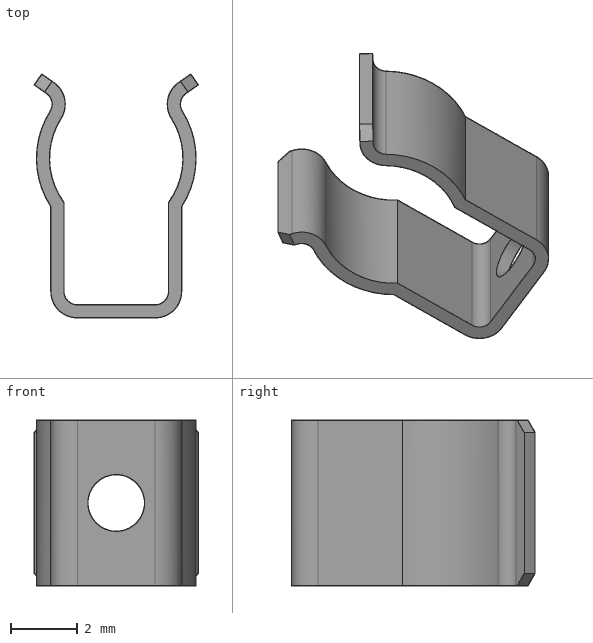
import cadquery as cq
import math

thickness = 0.4
height = 5.0
base_width = 3.95
corner_inner_radius = 0.4
hole_diameter = 1.7

jaw_bulge = 0.433
jaw_inner_radius = 2.25
jaw_center_y = 4.81
jaw_end_angle = 32.3

bend_inner_radius = 0.4
lip_angle = 35.0
lip_length = 0.45
lip_chamfer = 0.38

half_width = base_width / 2
inner_half_width = half_width - thickness
corner_outer_radius = corner_inner_radius + thickness
jaw_outer_radius = jaw_inner_radius + thickness
jaw_center_x = half_width + jaw_bulge - jaw_outer_radius
bend_outer_radius = bend_inner_radius + thickness
bend_start_angle = 180 + jaw_end_angle
bend_end_angle = 90 + lip_angle
bend_middle_angle = (bend_start_angle + bend_end_angle) / 2


def polar(center, radius, angle):
    """Point at a radius and an angle in degrees from a center."""
    radians = math.radians(angle)
    return (center[0] + radius * math.cos(radians), center[1] + radius * math.sin(radians))


jaw_center = (jaw_center_x, jaw_center_y)
bend_center = polar(jaw_center, jaw_outer_radius + bend_inner_radius, jaw_end_angle)
lip_tip_inner = polar(polar(bend_center, bend_outer_radius, bend_end_angle), lip_length, lip_angle)
lip_tip_outer = polar(polar(bend_center, bend_inner_radius, bend_end_angle), lip_length, lip_angle)


def jaw_wall_corner(wall_x, radius):
    """Point where a straight wall face meets the lower end of a jaw arc."""
    return (wall_x, jaw_center_y - math.sqrt(radius**2 - (wall_x - jaw_center_x) ** 2))


def make_half_strip():
    """The +X half of the bent strip, cut off at the symmetry plane X = 0."""
    profile = (
        cq.Workplane("XY")
        .moveTo(0, 0)
        .lineTo(half_width - corner_outer_radius, 0)
        .radiusArc((half_width, corner_outer_radius), -corner_outer_radius)
        .lineTo(*jaw_wall_corner(half_width, jaw_outer_radius))
        .threePointArc(
            polar(jaw_center, jaw_outer_radius, 0),
            polar(jaw_center, jaw_outer_radius, jaw_end_angle),
        )
        .threePointArc(
            polar(bend_center, bend_inner_radius, bend_middle_angle),
            polar(bend_center, bend_inner_radius, bend_end_angle),
        )
        .lineTo(*lip_tip_outer)
        .lineTo(*lip_tip_inner)
        .lineTo(*polar(bend_center, bend_outer_radius, bend_end_angle))
        .threePointArc(
            polar(bend_center, bend_outer_radius, bend_middle_angle),
            polar(jaw_center, jaw_inner_radius, jaw_end_angle),
        )
        .threePointArc(
            polar(jaw_center, jaw_inner_radius, 0),
            jaw_wall_corner(inner_half_width, jaw_inner_radius),
        )
        .lineTo(inner_half_width, corner_outer_radius)
        .radiusArc((half_width - corner_outer_radius, thickness), corner_inner_radius)
        .lineTo(0, thickness)
        .close()
    )
    return profile.extrude(height / 2, both=True)


def chamfer_lip(half_strip):
    """Bevel the upper and lower corners of the lip tip."""
    tip_x = (lip_tip_inner[0] + lip_tip_outer[0]) / 2
    tip_y = (lip_tip_inner[1] + lip_tip_outer[1]) / 2
    for tip_z in (-height / 2, height / 2):
        edge = cq.selectors.NearestToPointSelector((tip_x, tip_y, tip_z))
        half_strip = half_strip.edges(edge).chamfer(lip_chamfer)
    return half_strip


def cut_base_hole(clip):
    """Round hole through the middle of the base, along Y."""
    hole = cq.Workplane("XZ").circle(hole_diameter / 2).extrude(-thickness)
    return clip.cut(hole)


half_clip = chamfer_lip(make_half_strip())
clip = half_clip.union(half_clip.mirror("YZ")).clean()
result = cut_base_hole(clip)